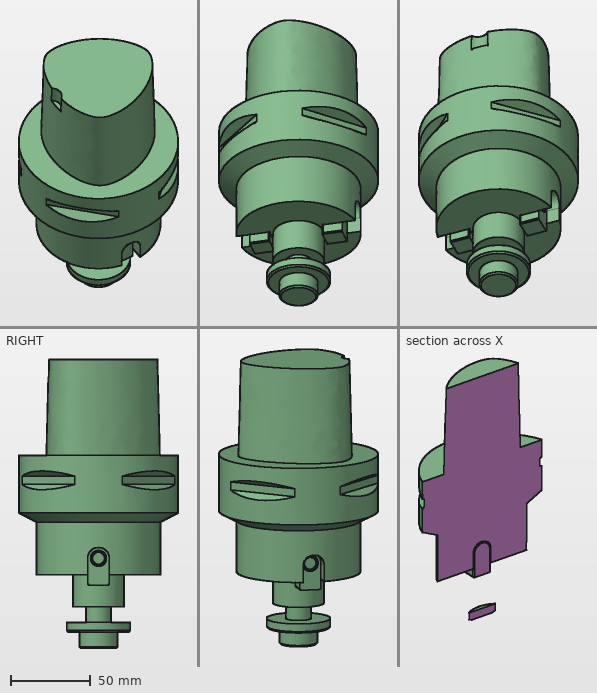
import cadquery as cq
import math

SCREW_BOTTOM_Z = 0
WASHER_BOTTOM_Z = 10.3
WASHER_TOP_Z = 16.3
SPIGOT_BOTTOM_Z = 26.0
BODY_BOTTOM_Z = 46.2
BODY_TOP_Z = 79.1
FLANGE_BOTTOM_Z = 84.9
FLANGE_TOP_Z = 120.9
TOP_Z = 181

FLANGE_DIAMETER = 100.0
BODY_DIAMETER = 78.0
SPIGOT_DIAMETER = 32.0
NECK_DIAMETER = 16.0
WASHER_DIAMETER = 40.0
SCREW_HEAD_DIAMETER = 24.0
EDGE_CHAMFER = 1.0

SHANK_MEAN_RADIUS = 35.7
SHANK_LOBE_HEIGHT = 2.9
SHANK_TAPER = 1 / 40
SHANK_CURVE_POINTS = 72

NOTCH_RADIUS = 6.9
NOTCH_CENTRE_Y = -35.1
NOTCH_DEPTH = 11.0

GROOVE_MIDDLE_Z = 105.3
GROOVE_FLOOR_HEIGHT = 5.0
GROOVE_FLOOR_DISTANCE = 44.2
GROOVE_FLANK_ANGLE = 30
GROOVE_ANGLES = (45, 135, 225, 315)

KEY_WIDTH = 13.5
KEY_OUTER_X = 29.9
KEY_INNER_X = 17.0
KEY_BOTTOM_Z = 39.6
KEY_CENTRE_Z = 56.5
KEY_CHAMFER = 0.7

COUNTERBORE_DIAMETER = 10.0
COUNTERBORE_DEPTH = 5.5
KEY_SCREW_DIAMETER = 8.5
KEY_SCREW_RECESS = 0.5
KEY_SCREW_CHAMFER = 0.45


def disc(diameter, bottom_z, top_z):
    return cq.Workplane("XY").workplane(offset=bottom_z).circle(diameter / 2).extrude(top_z - bottom_z)


def make_turned_body():
    flange = disc(FLANGE_DIAMETER, FLANGE_BOTTOM_Z, FLANGE_TOP_Z)
    cone = (
        cq.Workplane("XY", origin=(0, 0, BODY_TOP_Z))
        .circle(BODY_DIAMETER / 2)
        .workplane(offset=FLANGE_BOTTOM_Z - BODY_TOP_Z)
        .circle(FLANGE_DIAMETER / 2)
        .loft()
    )
    body = disc(BODY_DIAMETER, BODY_BOTTOM_Z, BODY_TOP_Z)
    return flange.union(cone).union(body)


def make_arbor():
    spigot = disc(SPIGOT_DIAMETER, SPIGOT_BOTTOM_Z, BODY_BOTTOM_Z)
    neck = disc(NECK_DIAMETER, WASHER_TOP_Z, SPIGOT_BOTTOM_Z)
    washer = disc(WASHER_DIAMETER, WASHER_BOTTOM_Z, WASHER_TOP_Z).faces("<Z").chamfer(EDGE_CHAMFER)
    head = disc(SCREW_HEAD_DIAMETER, SCREW_BOTTOM_Z, WASHER_BOTTOM_Z).faces("<Z").chamfer(EDGE_CHAMFER)
    return spigot.union(neck).union(washer).union(head)


def shank_point(mean_radius, angle):
    """Point of a three-lobed curve of constant width with one lobe towards +Y."""
    lobe_angle = 3 * (angle - math.pi / 2)
    support = mean_radius + SHANK_LOBE_HEIGHT * math.cos(lobe_angle)
    slope = -3 * SHANK_LOBE_HEIGHT * math.sin(lobe_angle)
    x = support * math.cos(angle) - slope * math.sin(angle)
    y = support * math.sin(angle) + slope * math.cos(angle)
    return x, y


def shank_points(mean_radius):
    step = 2 * math.pi / SHANK_CURVE_POINTS
    return [shank_point(mean_radius, i * step) for i in range(SHANK_CURVE_POINTS)]


def make_shank():
    height = TOP_Z - FLANGE_TOP_Z
    top_mean_radius = SHANK_MEAN_RADIUS - height * SHANK_TAPER
    shank = (
        cq.Workplane("XY", origin=(0, 0, FLANGE_TOP_Z))
        .spline(shank_points(SHANK_MEAN_RADIUS), periodic=True)
        .close()
        .workplane(offset=height)
        .spline(shank_points(top_mean_radius), periodic=True)
        .close()
        .loft(ruled=True)
    )
    notch = disc(2 * NOTCH_RADIUS, TOP_Z - NOTCH_DEPTH, TOP_Z).translate((0, NOTCH_CENTRE_Y, 0))
    return shank.cut(notch)


def make_groove(angle):
    """Straight groove with a flat floor and sloping flanks, facing the given direction."""
    mouth_distance = FLANGE_DIAMETER / 2
    flank_rise = (mouth_distance - GROOVE_FLOOR_DISTANCE) * math.tan(math.radians(GROOVE_FLANK_ANGLE))
    floor_half = GROOVE_FLOOR_HEIGHT / 2
    mouth_half = floor_half + flank_rise
    return (
        cq.Workplane("XZ", origin=(0, 0, GROOVE_MIDDLE_Z))
        .polyline([
            (GROOVE_FLOOR_DISTANCE, -floor_half),
            (mouth_distance, -mouth_half),
            (mouth_distance, mouth_half),
            (GROOVE_FLOOR_DISTANCE, floor_half),
        ])
        .close()
        .extrude(FLANGE_DIAMETER / 2, both=True)
        .rotate((0, 0, 0), (0, 0, 1), angle)
    )


def round_topped_block(start_x, end_x, bottom_z):
    """Upright block of key width with a half-round top, running along X."""
    half_width = KEY_WIDTH / 2
    return (
        cq.Workplane("YZ", origin=(start_x, 0, 0))
        .moveTo(-half_width, bottom_z)
        .lineTo(half_width, bottom_z)
        .lineTo(half_width, KEY_CENTRE_Z)
        .threePointArc((0, KEY_CENTRE_Z + half_width), (-half_width, KEY_CENTRE_Z))
        .close()
        .extrude(end_x - start_x)
    )


def key_bore(diameter, start_x, end_x):
    return (
        cq.Workplane("YZ", origin=(start_x, 0, KEY_CENTRE_Z))
        .circle(diameter / 2)
        .extrude(end_x - start_x)
    )


def make_key():
    key = round_topped_block(KEY_INNER_X, KEY_OUTER_X, KEY_BOTTOM_Z)
    key = key.edges("|X and <Z").chamfer(KEY_CHAMFER)
    key = key.faces("<X").edges("|Z").chamfer(KEY_CHAMFER)
    counterbore_floor_x = KEY_OUTER_X - COUNTERBORE_DEPTH
    counterbore = key_bore(COUNTERBORE_DIAMETER, counterbore_floor_x, KEY_OUTER_X)
    screw = key_bore(KEY_SCREW_DIAMETER, counterbore_floor_x, KEY_OUTER_X - KEY_SCREW_RECESS)
    screw = screw.faces(">X").chamfer(KEY_SCREW_CHAMFER)
    return key.cut(counterbore).union(screw)


result = make_turned_body().union(make_arbor()).union(make_shank())

for groove_angle in GROOVE_ANGLES:
    result = result.cut(make_groove(groove_angle))

key_slot = round_topped_block(KEY_INNER_X, FLANGE_DIAMETER / 2, BODY_BOTTOM_Z)
drive_key = make_key()
for side_angle in (0, 180):
    slot = key_slot.rotate((0, 0, 0), (0, 0, 1), side_angle)
    key = drive_key.rotate((0, 0, 0), (0, 0, 1), side_angle)
    result = result.cut(slot).union(key)